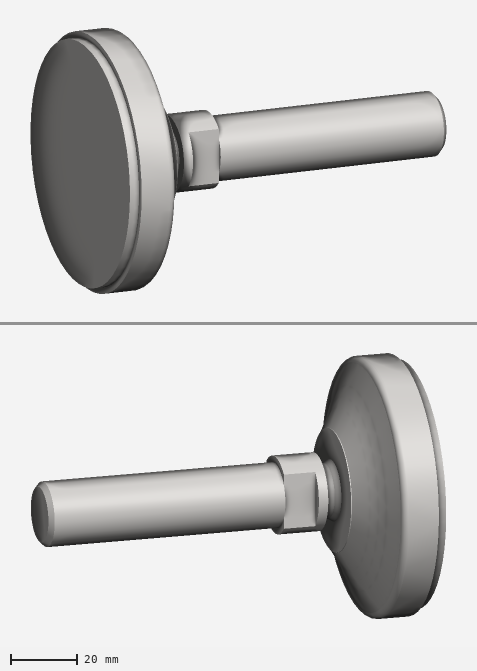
import cadquery as cq
import math


insert_diameter = 76.0
insert_height = 3.0
pad_diameter = 80.0
rim_top = 12.5
shoulder_round = 2.0
crown_radius = 19.0
crown_height = 24.0
crown_lip_height = 0.25
flank_sag = 0.85

neck_diameter = 17.0
flare_diameter = 19.0
flare_top = 25.8

collar_diameter = 24.0
collar_bottom = 29.0
collar_flange_thickness = 3.0
across_flats = 17.0
flats_length = 10.0

stud_diameter = 20.0
stud_length = 75.0
stud_chamfer = 1.5

shoulder_radius = pad_diameter / 2 - shoulder_round
shoulder_height = rim_top + shoulder_round
flats_bottom = collar_bottom + collar_flange_thickness
collar_top = flats_bottom + flats_length
flank_top = crown_height - crown_lip_height
overall_height = collar_top + stud_length


def flank_midpoint():
    """Middle of the hollow conical flank, sunk below its chord by the sag."""
    run = shoulder_radius - crown_radius
    drop = flank_top - shoulder_height
    chord = math.hypot(run, drop)
    radius = (shoulder_radius + crown_radius) / 2 - flank_sag * drop / chord
    height = (shoulder_height + flank_top) / 2 - flank_sag * run / chord
    return radius, height


def shoulder_midpoint():
    """Middle of the quarter round between the rim and the flank."""
    offset = shoulder_round * math.sqrt(0.5)
    return shoulder_radius + offset, rim_top + offset


def make_turned_body():
    """Pad, neck, collar and stud revolved in one piece about the Y axis."""
    pad_radius = pad_diameter / 2
    stud_radius = stud_diameter / 2
    profile = (
        cq.Workplane("XY")
        .lineTo(insert_diameter / 2, 0)
        .lineTo(insert_diameter / 2, insert_height)
        .lineTo(pad_radius, insert_height)
        .lineTo(pad_radius, rim_top)
        .threePointArc(shoulder_midpoint(), (shoulder_radius, shoulder_height))
        .threePointArc(flank_midpoint(), (crown_radius, flank_top))
        .lineTo(crown_radius, crown_height)
        .lineTo(flare_diameter / 2, crown_height)
        .lineTo(neck_diameter / 2, flare_top)
        .lineTo(neck_diameter / 2, collar_bottom)
        .lineTo(collar_diameter / 2, collar_bottom)
        .lineTo(collar_diameter / 2, collar_top)
        .lineTo(stud_radius, collar_top)
        .lineTo(stud_radius, overall_height - stud_chamfer)
        .lineTo(stud_radius - stud_chamfer, overall_height)
        .lineTo(0, overall_height)
        .close()
    )
    return profile.revolve(360, (0, 0), (0, 1))


def cut_wrench_flats(body):
    """Cut a flat on each X side of the collar, leaving its lower flange round."""
    for side in (-1, 1):
        cutter_x = side * (across_flats + collar_diameter) / 2
        cutter_y = flats_bottom + flats_length / 2
        cutter = cq.Workplane("XY").box(collar_diameter, flats_length, collar_diameter)
        cutter = cutter.translate((cutter_x, cutter_y, 0))
        body = body.cut(cutter)
    return body


result = cut_wrench_flats(make_turned_body())